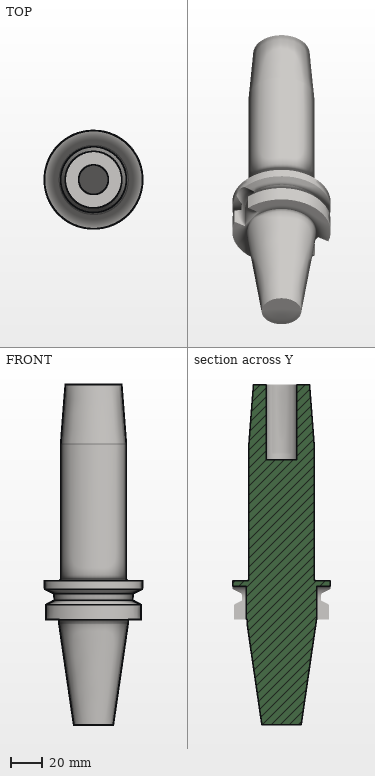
import cadquery as cq

total_height = 217.8
gauge_height = 65.3
flange_bottom = 67.3
flange_top = 92.3
nose_base = 179.7

taper_ratio = 7 / 24
gauge_radius = 22.2
shank_end_radius = gauge_radius - gauge_height * taper_ratio / 2

flange_radius = 63.0 / 2
groove_radius = 53.0 / 2
groove_center = 82.0
groove_floor_width = 4.4
groove_mouth_width = 10.0

body_radius = 42.0 / 2
body_fillet = 1.0
nose_tip_radius = 18.0
bore_diameter = 19.0
bore_depth = 48.0

slot_width = 16.1
slot_floor = 22.7
slot_top = 88.5
slot_overrun = 2.2


def make_body():
    """Revolve the complete outer profile about the Z axis."""
    floor_half = groove_floor_width / 2
    mouth_half = groove_mouth_width / 2
    profile = (
        cq.Workplane("XZ")
        .moveTo(0, 0)
        .lineTo(shank_end_radius, 0)
        .lineTo(gauge_radius, gauge_height)
        .lineTo(gauge_radius, flange_bottom)
        .lineTo(flange_radius, flange_bottom)
        .lineTo(flange_radius, groove_center - mouth_half)
        .lineTo(groove_radius, groove_center - floor_half)
        .lineTo(groove_radius, groove_center + floor_half)
        .lineTo(flange_radius, groove_center + mouth_half)
        .lineTo(flange_radius, flange_top)
        .lineTo(body_radius + body_fillet, flange_top)
        .radiusArc((body_radius, flange_top + body_fillet), body_fillet)
        .lineTo(body_radius, nose_base)
        .lineTo(nose_tip_radius, total_height)
        .lineTo(0, total_height)
        .close()
    )
    return profile.revolve(360, (0, 0, 0), (0, 1, 0))


def make_bore():
    """Blind tool bore, open at the nose."""
    return (
        cq.Workplane("XY", origin=(0, 0, total_height - bore_depth))
        .circle(bore_diameter / 2)
        .extrude(bore_depth)
    )


def make_slot(side):
    """Round-topped drive slot cutter; side is -1 for -X and +1 for +X."""
    half_width = slot_width / 2
    arc_start = slot_top - half_width
    return (
        cq.Workplane("YZ", origin=(side * slot_floor, 0, 0))
        .moveTo(-half_width, flange_bottom)
        .lineTo(half_width, flange_bottom)
        .lineTo(half_width, arc_start)
        .threePointArc((0, slot_top), (-half_width, arc_start))
        .close()
        .extrude(side * (flange_radius - slot_floor + slot_overrun))
    )


result = make_body().cut(make_bore())
for slot_side in (-1, 1):
    result = result.cut(make_slot(slot_side))